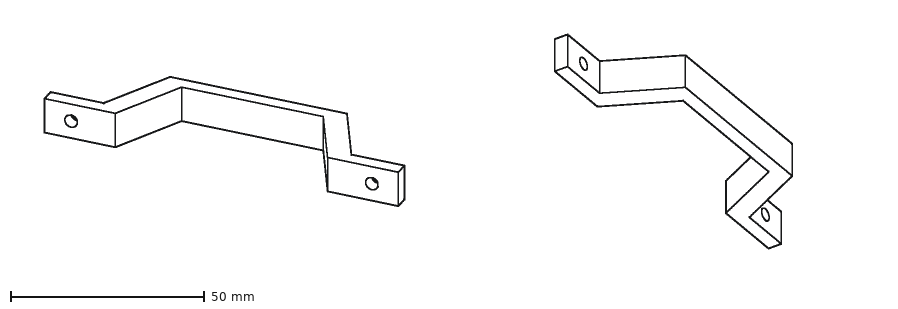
import cadquery as cq

length = 100.0
depth = 24.0
height = 10.0

thickness = 4.0
foot_front_length = 20.0
foot_back_length = 15.0
grip_inner_length = 40.0
grip_outer_length = 50.0

hole_diameter = 3.5
hole_spacing = 85.0

half_length = length / 2
front = -depth / 2
back = depth / 2

right_half = [
    (grip_inner_length / 2, back - thickness),
    (half_length - foot_front_length, front),
    (half_length, front),
    (half_length, front + thickness),
    (half_length - foot_back_length, front + thickness),
    (grip_outer_length / 2, back),
]
left_half = [(-x, y) for x, y in reversed(right_half)]

handle = (
    cq.Workplane("XY")
    .polyline(right_half + left_half)
    .close()
    .extrude(height / 2, both=True)
)

holes = (
    cq.Workplane("XZ", origin=(0, front + thickness, 0))
    .pushPoints([(-hole_spacing / 2, 0), (hole_spacing / 2, 0)])
    .circle(hole_diameter / 2)
    .extrude(thickness)
)

result = handle.cut(holes)